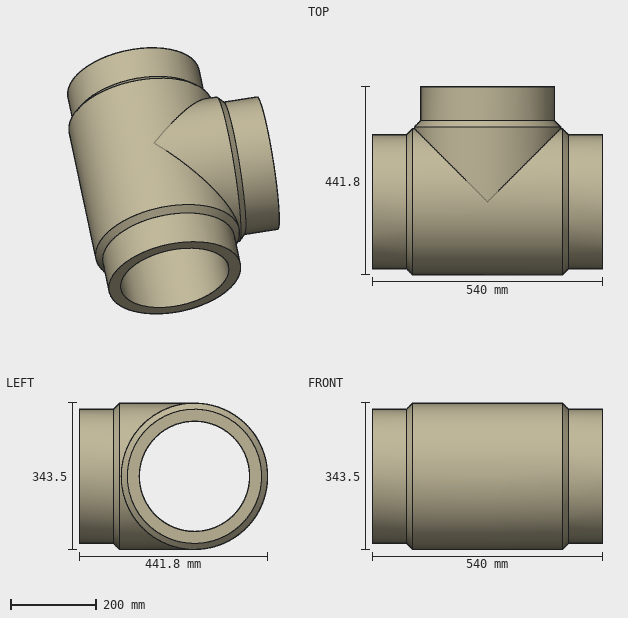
import cadquery as cq

reach = 270.0
body_diameter = 343.5
spigot_diameter = 315.0
bore_diameter = 258.0
spigot_length = 80.0
shoulder = (body_diameter - spigot_diameter) / 2


def arm(direction):
    """Outer solid of one arm: body, conical shoulder and spigot."""
    spigot_start = reach - spigot_length
    body_end = spigot_start - shoulder
    profile = (
        cq.Workplane("XY")
        .polyline([
            (0, 0),
            (body_diameter / 2, 0),
            (body_diameter / 2, body_end),
            (spigot_diameter / 2, spigot_start),
            (spigot_diameter / 2, reach),
            (0, reach),
        ])
        .close()
    )
    along_y = profile.revolve(360, (0, 0), (0, 1))
    return along_y.rotate((0, 0, 0), (0, 0, 1), direction)


def bore(plane, start, length):
    """Cylinder along the normal of the plane, starting at the given offset."""
    return cq.Workplane(plane).workplane(offset=start).circle(bore_diameter / 2).extrude(length)


run = arm(90).union(arm(-90))
outer = run.union(arm(0))

run_bore = bore("YZ", -reach, 2 * reach)
branch_bore = bore("XZ", -reach, reach)

result = outer.cut(run_bore).cut(branch_bore).clean()